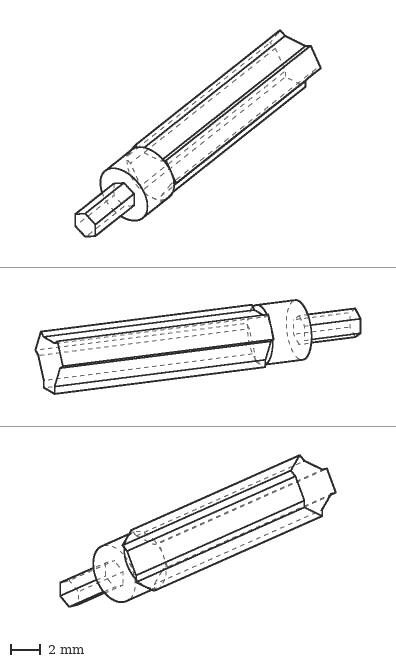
import cadquery as cq
import math

total_length = 22.55
shank_length = 4.15
collar_length = 2.86
collar_diameter = 4.04
hex_across_flats = 1.74
rib_angles = (30, 150, 270)

body_length = total_length - shank_length - collar_length
collar_radius = collar_diameter / 2
rib_width = hex_across_flats
core_across_flats = rib_width * math.sqrt(3)
collar_start = shank_length
body_start = collar_start + collar_length


def cross_section(y):
    """Sketch plane across the axis at y, with local x along +X and normal +Y."""
    return cq.Workplane(cq.Plane(origin=(0, y, 0), xDir=(1, 0, 0), normal=(0, 1, 0)))


def hex_bar(start, length, across_flats, turn):
    """Hexagonal bar; at zero turn two of its corners point along X."""
    across_corners = across_flats / math.cos(math.radians(30))
    bar = cross_section(start).polygon(6, across_corners).extrude(length)
    return bar.rotate((0, 0, 0), (0, 1, 0), turn)


def rib(angle):
    """Flat-topped rib from the axis out to the collar radius."""
    block = (
        cross_section(body_start)
        .center(collar_radius / 2, 0)
        .rect(collar_radius, rib_width)
        .extrude(body_length)
    )
    return block.rotate((0, 0, 0), (0, 1, 0), -angle)


shank = hex_bar(0, shank_length, hex_across_flats, turn=30)
collar = cross_section(collar_start).circle(collar_radius).extrude(collar_length)

body = hex_bar(body_start, body_length, core_across_flats, turn=0)
for rib_angle in rib_angles:
    body = body.union(rib(rib_angle))

result = shank.union(collar).union(body)